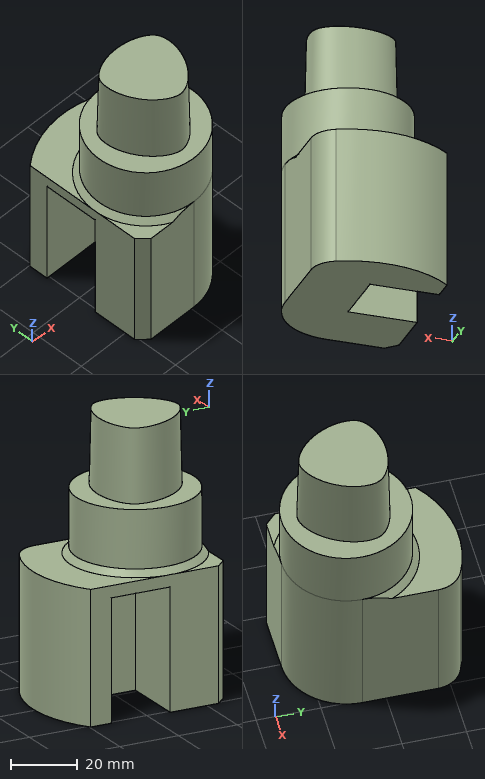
import cadquery as cq
import math


total_height = 89.0
body_height = 44.0
neck_height = 2.05
collar_top = 65.0

collar_radius = 40.0 / 2
flat_side_x = -22.0
back_radius = 34.9
back_corner_radius = 9.0
front_corner_chamfer = 3.5

slot_top = 40.05
slot_width = collar_radius
slot_depth = -flat_side_x

shank_base_radius = 14.0
shank_top_radius = 13.4
lobe_height = 1.1
points_per_outline = 48


def make_body_outline():
    """Outline with one rounded front corner, one chamfered one and an arched back."""
    flat_back_y = math.sqrt(back_radius**2 - flat_side_x**2)
    corner_x = collar_radius - back_corner_radius
    corner_reach = back_radius - back_corner_radius
    corner_y = math.sqrt(corner_reach**2 - corner_x**2)
    tangent_ratio = back_radius / corner_reach
    diagonal = collar_radius * math.sqrt(0.5)
    corner_angle = math.atan2(corner_y, corner_x) / 2
    corner_middle = (
        corner_x + back_corner_radius * math.cos(corner_angle),
        corner_y + back_corner_radius * math.sin(corner_angle),
    )
    return (
        cq.Workplane("XY")
        .moveTo(flat_side_x + front_corner_chamfer, -collar_radius)
        .lineTo(0, -collar_radius)
        .threePointArc((diagonal, -diagonal), (collar_radius, 0))
        .lineTo(collar_radius, corner_y)
        .threePointArc(corner_middle, (corner_x * tangent_ratio, corner_y * tangent_ratio))
        .threePointArc((0, back_radius), (flat_side_x, flat_back_y))
        .lineTo(flat_side_x, -collar_radius + front_corner_chamfer)
        .close()
    )


def make_neck():
    """45-degree cone widening from the collar down to the body top."""
    return (
        cq.Workplane("XY")
        .workplane(offset=body_height)
        .circle(collar_radius + neck_height)
        .workplane(offset=neck_height)
        .circle(collar_radius)
        .loft(ruled=True)
    )


def make_shank():
    """Constant-width three-lobed section tapering towards the top."""

    def outline_points(radius):
        points = []
        for i in range(points_per_outline):
            angle = 2 * math.pi * i / points_per_outline
            reach = radius + lobe_height * math.sin(3 * angle)
            slide = 3 * lobe_height * math.cos(3 * angle)
            x = reach * math.cos(angle) - slide * math.sin(angle)
            y = reach * math.sin(angle) + slide * math.cos(angle)
            points.append((x, y))
        return points

    return (
        cq.Workplane("XY")
        .workplane(offset=collar_top)
        .spline(outline_points(shank_base_radius), periodic=True)
        .close()
        .workplane(offset=total_height - collar_top)
        .spline(outline_points(shank_top_radius), periodic=True)
        .close()
        .loft(ruled=True)
    )



body = make_body_outline().extrude(body_height)
neck = make_neck().intersect(make_body_outline().extrude(total_height))
collar_bottom = body_height + neck_height
collar = (
    cq.Workplane("XY")
    .workplane(offset=collar_bottom)
    .circle(collar_radius)
    .extrude(collar_top - collar_bottom)
)
slot = (
    cq.Workplane("XY")
    .box(slot_depth, slot_width, slot_top, centered=False)
    .translate((flat_side_x, 0, 0))
)

result = body.cut(slot).union(neck).union(collar).union(make_shank())